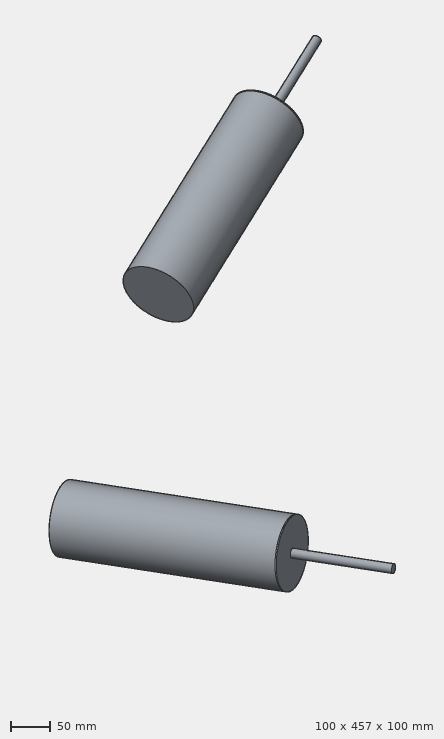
import cadquery as cq

total_length = 457.0
barrel_diameter = 100.0
rod_diameter = 13.0
rod_length = 140.8
cap_thickness = 2.0

barrel_length = total_length - rod_length - cap_thickness
cap_start = barrel_length
rod_start = cap_start + cap_thickness


def cylinder_along_y(diameter, length, start):
    """Solid cylinder on the Y axis, running from start toward +Y."""
    base_plane = cq.Plane(origin=(0, start, 0), xDir=(1, 0, 0), normal=(0, 1, 0))
    return cq.Workplane(base_plane).circle(diameter / 2).extrude(length)


barrel = cylinder_along_y(barrel_diameter, barrel_length, 0)

cap = cylinder_along_y(barrel_diameter, cap_thickness, cap_start)

rod = cylinder_along_y(rod_diameter, rod_length, rod_start)

result = cq.Compound.makeCompound([barrel.val(), cap.val(), rod.val()])